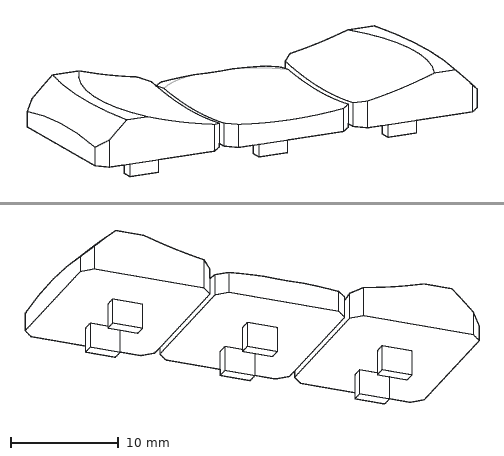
import cadquery as cq
import math

row_length = 40.0
cap_depth = 13.0
cap_left = 8.75
cap_right = 7.0
corner_chamfer = 1.0

blank_height = 4.35
middle_height = 2.3

stem_width = 1.2
stem_depth = 3.0
stem_length = 2.5
stem_spacing = 5.6

dish_radius = 48.4
dish_rim_radius = 16.55

crown_radius = 60.0
slope_run = 2.2
slope_drop = 2.1

cap_pitch = (row_length - cap_depth) / 2
dish_center_z = blank_height + math.sqrt(dish_radius**2 - dish_rim_radius**2)

dish_drop = dish_center_z - middle_height
middle_rim_radius = math.sqrt(dish_radius**2 - dish_drop**2)
middle_crown_z = middle_height - math.sqrt(crown_radius**2 - middle_rim_radius**2)

slope_length = math.hypot(slope_run, slope_drop)
crown_offset = math.sqrt(crown_radius**2 - (slope_length / 2)**2)
end_crown_y = row_length / 2 - slope_run / 2 - crown_offset * slope_drop / slope_length
end_crown_z = blank_height - slope_drop / 2 - crown_offset * slope_run / slope_length


def cap_blank():
    """Flat-topped block with chamfered vertical corners, centred on Y = 0."""
    return (
        cq.Workplane("XY")
        .box(cap_left + cap_right, cap_depth, blank_height, centered=(False, True, False))
        .translate((-cap_left, 0, 0))
        .edges("|Z")
        .chamfer(corner_chamfer)
    )


def stem_legs():
    """Pair of rectangular legs hanging below the keycap."""
    return (
        cq.Workplane("XY")
        .pushPoints([(-stem_spacing / 2, 0), (stem_spacing / 2, 0)])
        .rect(stem_width, stem_depth)
        .extrude(-stem_length)
    )


def dish():
    """Sphere above the middle keycap; its lowest point lies on the Z axis."""
    return cq.Workplane("XY").sphere(dish_radius).translate((0, 0, dish_center_z))


def crown(center_y, center_z):
    """Large convex sphere; a keycap keeps only what lies inside it."""
    return cq.Workplane("XY").sphere(crown_radius).translate((0, center_y, center_z))


def middle_keycap():
    """Keycap whose corners on the -X side fall away along the crown, outside the dish rim."""
    body = cap_blank().intersect(crown(0, middle_crown_z)).cut(dish())
    return body.union(stem_legs())


def end_keycap(side):
    """Keycap at the -Y (side = -1) or +Y (side = 1) end, sloped on its outer edge."""
    place = (0, side * cap_pitch, 0)
    body = cap_blank().translate(place)
    body = body.intersect(crown(side * end_crown_y, end_crown_z)).cut(dish())
    return body.union(stem_legs().translate(place))


end_keycaps = [end_keycap(side).val() for side in (-1, 1)]
result = cq.Compound.makeCompound([middle_keycap().val(), *end_keycaps])